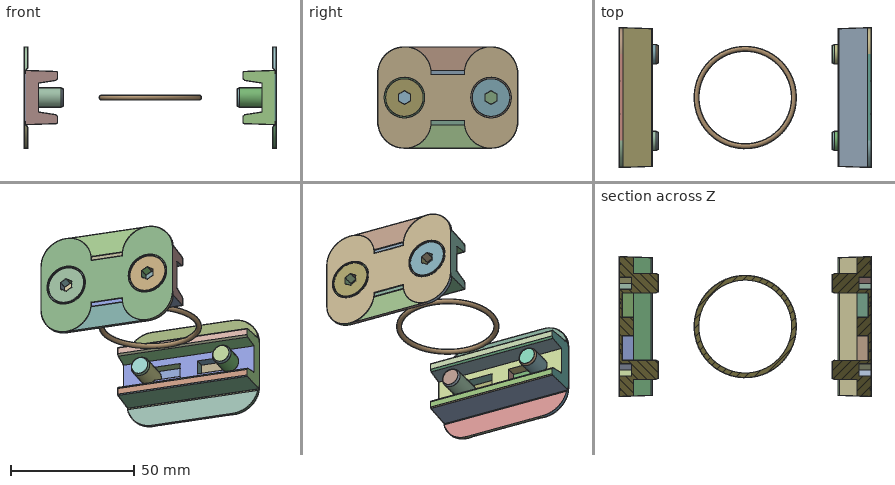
import cadquery as cq
import math

OVERALL_X = 102.5
CLAMP_LENGTH = 56.9
PLATE_HEIGHT = 41.2

PLATE_THICKNESS = 1.5
PLATE_CORNER_RADIUS = 10.9
RELIEF_HEIGHT = 1.0
RELIEF_DEPTH = 0.8

RECESS_DEPTH = 0.2
STEP_DEPTH = 0.5
STEP_INNER_Z = 9.3

BLOCK_HEIGHT = 22.1
BLOCK_BASE_X = 0.6
BLOCK_TIP_X = 13.6
BLOCK_DRAFT = 2.0
FLOOR_X = 5.9
CHANNEL_FLOOR_HEIGHT = 11.7
CHANNEL_MOUTH_HEIGHT = 14.0
ARM_INNER_CHAMFER = 0.7
ARM_OUTER_CHAMFER = 0.4
EDGE_REACH = 0.1

POCKET_START_Y = 3.8
POCKET_HEIGHT = 5.7
POCKET_DEPTH = 4.6

SCREW_DIAMETER = 8.0
SCREW_TIP_X = 16.0
SCREW_CHAMFER_LENGTH = 1.0
SCREW_CHAMFER_RADIAL = 0.5
HEAD_DIAMETER = 15.3
HEAD_SEAT_DIAMETER = 16.5
HEAD_GAP_DEPTH = 0.5
HEX_ACROSS_FLATS = 4.8
HEX_DEPTH = 5.0

RING_OUTER_DIAMETER = 41.6
RING_WIRE_DIAMETER = 2.0

HALF_LENGTH = CLAMP_LENGTH / 2
HALF_HEIGHT = PLATE_HEIGHT / 2
SCREW_Y = HALF_LENGTH - PLATE_CORNER_RADIUS
EAR_Z = HALF_HEIGHT - PLATE_CORNER_RADIUS
EAR_INNER_Y = SCREW_Y - PLATE_CORNER_RADIUS
SCREW_CENTRES = [(-SCREW_Y, 0), (SCREW_Y, 0)]


def plane_at(x):
    """Sketch plane facing +X: sketch axes are Y and Z, x is measured from the clamp's outer face."""
    return cq.Workplane("YZ", origin=(x, 0, 0))


def make_plate():
    plate = plane_at(0).rect(CLAMP_LENGTH, PLATE_HEIGHT).extrude(PLATE_THICKNESS)
    return plate.edges("|X").fillet(PLATE_CORNER_RADIUS)


def make_relief():
    """Triangular undercut along the root of the upper flange, on its inner side."""
    root = BLOCK_HEIGHT / 2
    outline = [
        (PLATE_THICKNESS - RELIEF_DEPTH, root),
        (PLATE_THICKNESS, root),
        (PLATE_THICKNESS, root + RELIEF_HEIGHT),
    ]
    return cq.Workplane("XZ").polyline(outline).close().extrude(HALF_LENGTH, both=True)


def make_flange_recess():
    """Shallow recess bounded by the two upper ears and the foot of the flange."""
    mid_y = SCREW_Y - PLATE_CORNER_RADIUS * math.cos(math.radians(45))
    mid_z = EAR_Z + PLATE_CORNER_RADIUS * math.sin(math.radians(45))
    recess = (
        plane_at(0)
        .moveTo(-EAR_INNER_Y, STEP_INNER_Z)
        .lineTo(EAR_INNER_Y, STEP_INNER_Z)
        .lineTo(EAR_INNER_Y, EAR_Z)
        .threePointArc((mid_y, mid_z), (SCREW_Y, HALF_HEIGHT))
        .lineTo(-SCREW_Y, HALF_HEIGHT)
        .threePointArc((-mid_y, mid_z), (-EAR_INNER_Y, EAR_Z))
        .close()
        .extrude(RECESS_DEPTH)
    )
    step_height = BLOCK_HEIGHT / 2 - STEP_INNER_Z
    step = (
        plane_at(0)
        .center(0, STEP_INNER_Z + step_height / 2)
        .rect(2 * EAR_INNER_Y, step_height)
        .extrude(STEP_DEPTH)
    )
    return recess.union(step)


def make_channel():
    """Flared channel between the two arms."""
    floor_z = CHANNEL_FLOOR_HEIGHT / 2
    mouth_z = CHANNEL_MOUTH_HEIGHT / 2
    outline = [
        (FLOOR_X, -floor_z),
        (FLOOR_X, floor_z),
        (BLOCK_TIP_X, mouth_z),
        (BLOCK_TIP_X, -mouth_z),
    ]
    return cq.Workplane("XZ").polyline(outline).close().extrude(HALF_LENGTH, both=True)


def make_block_seat():
    """Slab removed from the plate so that the drafted block alone forms the ends there."""
    seat_depth = PLATE_THICKNESS - BLOCK_BASE_X
    return plane_at(BLOCK_BASE_X).rect(CLAMP_LENGTH, BLOCK_HEIGHT).extrude(seat_depth)


def make_block():
    """Drafted block with the channel cut out, leaving two arms with chamfered tips."""
    arms = (
        plane_at(BLOCK_BASE_X)
        .rect(CLAMP_LENGTH, BLOCK_HEIGHT)
        .extrude(BLOCK_TIP_X - BLOCK_BASE_X, taper=BLOCK_DRAFT)
    )
    arms = arms.cut(make_channel())
    inner_z = CHANNEL_MOUTH_HEIGHT / 2
    mouth_edges = cq.selectors.BoxSelector(
        (BLOCK_TIP_X - EDGE_REACH, -HALF_LENGTH, -inner_z - EDGE_REACH),
        (BLOCK_TIP_X + EDGE_REACH, HALF_LENGTH, inner_z + EDGE_REACH),
    )
    arms = arms.edges(mouth_edges).edges("|Y").chamfer(ARM_INNER_CHAMFER)
    return arms.faces(">X").edges("|Y").edges(">Z or <Z").chamfer(ARM_OUTER_CHAMFER)


def make_pockets():
    length = SCREW_Y - POCKET_START_Y
    centre_y = POCKET_START_Y + length / 2
    return (
        plane_at(FLOOR_X - POCKET_DEPTH)
        .pushPoints([(-centre_y, 0), (centre_y, 0)])
        .rect(length, POCKET_HEIGHT)
        .extrude(POCKET_DEPTH)
    )


def make_screw_shanks():
    shank = plane_at(BLOCK_BASE_X).pushPoints(SCREW_CENTRES).circle(SCREW_DIAMETER / 2)
    shank = shank.extrude(SCREW_TIP_X - BLOCK_BASE_X)
    return shank.faces(">X").edges().chamfer(SCREW_CHAMFER_LENGTH, SCREW_CHAMFER_RADIAL)


def make_head_gaps():
    """Thin annular gaps around the flush screw heads."""
    return (
        plane_at(0)
        .pushPoints(SCREW_CENTRES)
        .circle(HEAD_SEAT_DIAMETER / 2)
        .circle(HEAD_DIAMETER / 2)
        .extrude(HEAD_GAP_DEPTH)
    )


def make_hex_sockets():
    across_corners = HEX_ACROSS_FLATS / math.cos(math.radians(30))
    socket = cq.Workplane("YZ").polygon(6, across_corners).extrude(HEX_DEPTH)
    socket = socket.rotate((0, 0, 0), (1, 0, 0), 30)
    left = socket.translate((0, -SCREW_Y, 0))
    return left.union(socket.translate((0, SCREW_Y, 0)))


def make_clamp():
    """One clamp with its outer face at x = 0 and its channel opening toward +X."""
    recess = make_flange_recess()
    relief = make_relief()
    clamp = make_plate().cut(make_block_seat()).cut(relief).cut(relief.mirror("XY"))
    clamp = clamp.union(make_block())
    clamp = clamp.cut(make_pockets()).union(make_screw_shanks())
    clamp = clamp.cut(recess).cut(recess.mirror("XY"))
    return clamp.cut(make_head_gaps()).cut(make_hex_sockets())


def make_ring():
    wire_radius = RING_WIRE_DIAMETER / 2
    ring_radius = RING_OUTER_DIAMETER / 2 - wire_radius
    return cq.Workplane("XY").add(cq.Solid.makeTorus(ring_radius, wire_radius))


ring = make_ring()
left_clamp = make_clamp().translate((-OVERALL_X / 2, 0, 0))
clamps = [left_clamp.rotate((0, 0, 0), (0, 0, 1), angle) for angle in (0, 180)]

result = cq.Compound.makeCompound([ring.val(), *[clamp.val() for clamp in clamps]])